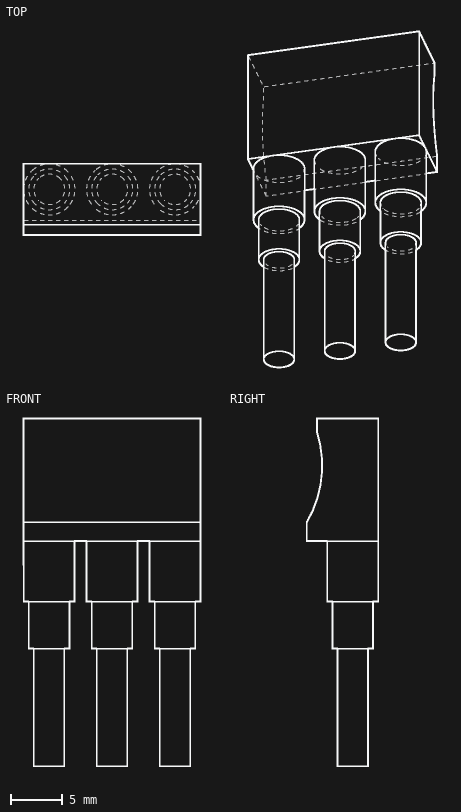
import cadquery as cq

body_length = 17.3
body_height = 12.0
top_depth = 6.0
bottom_depth = 7.0
top_land = 1.35
bottom_land = 1.85
waist_depth = 5.5
waist_height = 7.37

pin_steps = [(5.0, 5.9), (4.0, 4.6), (3.0, 11.5)]
pin_count = 3
pin_root_radius = pin_steps[0][0] / 2
pin_pitch = (body_length - 2 * pin_root_radius) / (pin_count - 1)

back_y = pin_root_radius


def make_body():
    """Extrude the YZ profile of the body along X, centred on X = 0."""
    return (
        cq.Workplane("YZ")
        .moveTo(back_y, 0)
        .lineTo(back_y - bottom_depth, 0)
        .lineTo(back_y - bottom_depth, bottom_land)
        .threePointArc(
            (back_y - waist_depth, waist_height),
            (back_y - top_depth, body_height - top_land),
        )
        .lineTo(back_y - top_depth, body_height)
        .lineTo(back_y, body_height)
        .close()
        .extrude(body_length / 2, both=True)
    )


def make_pin(center_x):
    """Stack the cylindrical steps of one pin downwards from the body."""
    pin = cq.Workplane("XY", origin=(center_x, 0, 0)).workplane(invert=True)
    for diameter, length in pin_steps:
        pin = pin.circle(diameter / 2).extrude(length).faces("<Z").workplane()
    return cq.Workplane(pin.findSolid())


result = make_body()
for index in range(pin_count):
    pin_x = (index - (pin_count - 1) / 2) * pin_pitch
    result = result.union(make_pin(pin_x))